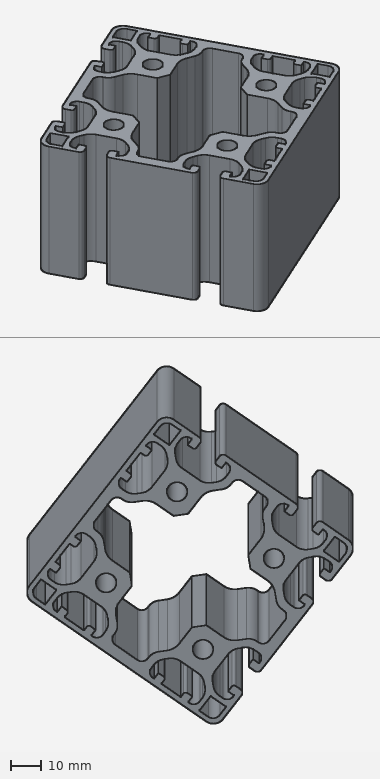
import cadquery as cq

size = 80.0
length = 50.0
module = size / 2
module_centers = [-module / 2, module / 2]
corner_radius = 4.0

mouth_half = 4.0
lip_half = 7.0
slot_half = 10.0
lip_depth = 4.5
skin = 2.0
slot_depth = 12.2
slot_slope_sum = 18.0
undercut_radius = 2.5
slot_flank_radius = 5.2
lip_inner_radius = 1.0
lip_outer_radius = 1.5

tube_near = 1.8
tube_far = 8.2
tube_radius = 2.8

core_hole_diameter = 6.8

wall = 4.1
hub_edge = 12.4
hub_chamfer = 3.4
arm_half = 7.0
arm_slope_sum = 37.9
arm_end = module - wall
arm_end_radius = 2.5
arm_outer_flank_radius = 5.0
arm_inner_flank_radius = 6.2


def fillet_corners(prism, points, radius):
    """Round the lengthwise edges of a prism that stand at the given points."""
    for x, y in points:
        edge = prism.edges("|Z").edges(cq.NearestToPointSelector((x, y, length / 2)))
        prism = edge.fillet(radius)
    return prism


def mirror_x(points):
    return [(-x, y) for x, y in points]


def rotated(points, turns):
    """Rotate points about the bar axis by quarter turns."""
    for _ in range(turns):
        points = [(-y, x) for x, y in points]
    return points


def slot(mouth_depth):
    """T-slot prism centred on x = 0, going along +Y from the face y = 0 and open from mouth_depth."""
    lip_tip = (mouth_half, lip_depth)
    undercut = (slot_half, skin)
    flank_outer = (slot_half, slot_slope_sum - slot_half)
    flank_inner = (slot_slope_sum - slot_depth, slot_depth)
    half = [
        (mouth_half, mouth_depth),
        lip_tip,
        (lip_half, lip_depth),
        (lip_half, skin),
        undercut,
        flank_outer,
        flank_inner,
    ]
    prism = cq.Workplane("XY").polyline(half + mirror_x(half)[::-1]).close().extrude(length)
    rounds = [
        ([lip_tip], lip_inner_radius),
        ([undercut], undercut_radius),
        ([flank_outer, flank_inner], slot_flank_radius),
    ]
    for points, radius in rounds:
        prism = fillet_corners(prism, points + mirror_x(points), radius)
    return prism


def cavity():
    """Cross-shaped central cavity with sloped flanks around the four hubs."""
    end = (arm_half, -arm_end)
    flank_outer = (arm_half, arm_half - arm_slope_sum)
    flank_inner = (hub_edge, hub_edge - arm_slope_sum)
    chamfer = (hub_edge, -(hub_edge + hub_chamfer))
    right = [end, flank_outer, flank_inner, chamfer]
    arm = mirror_x(right)[::-1] + right
    outline = [point for turns in range(4) for point in rotated(arm, turns)]
    prism = cq.Workplane("XY").polyline(outline).close().extrude(length)
    rounds = [
        (end, arm_end_radius),
        (flank_outer, arm_outer_flank_radius),
        (flank_inner, arm_inner_flank_radius),
    ]
    for point, radius in rounds:
        pair = [point] + mirror_x([point])
        for turns in range(4):
            prism = fillet_corners(prism, rotated(pair, turns), radius)
    return prism


def corner_tube():
    """Square hollow in the (-X, -Y) corner, rounded on its outer corner."""
    near = tube_near - module
    side = tube_far - tube_near
    prism = cq.Workplane("XY").rect(side, side, centered=False).extrude(length)
    return prism.translate((near, near, 0)).edges("|Z and <X and <Y").fillet(tube_radius)


body = cq.Workplane("XY").rect(size, size).extrude(length).edges("|Z").fillet(corner_radius)
body = body.cut(cavity())

for turns, mouth_depth in enumerate([0, skin, skin, 0]):
    for center in module_centers:
        cutter = slot(mouth_depth).translate((center, -module, 0))
        body = body.cut(cutter.rotate((0, 0, 0), (0, 0, 1), 90 * turns))
    if mouth_depth == 0:
        mouth_edges = [
            (center + side * mouth_half, -module)
            for center in module_centers
            for side in (-1, 1)
        ]
        body = fillet_corners(body, rotated(mouth_edges, turns), lip_outer_radius)

for turns in range(4):
    body = body.cut(corner_tube().rotate((0, 0, 0), (0, 0, 1), 90 * turns))

core_holes = (
    cq.Workplane("XY")
    .rect(module, module, forConstruction=True)
    .vertices()
    .circle(core_hole_diameter / 2)
    .extrude(length)
)
result = body.cut(core_holes)